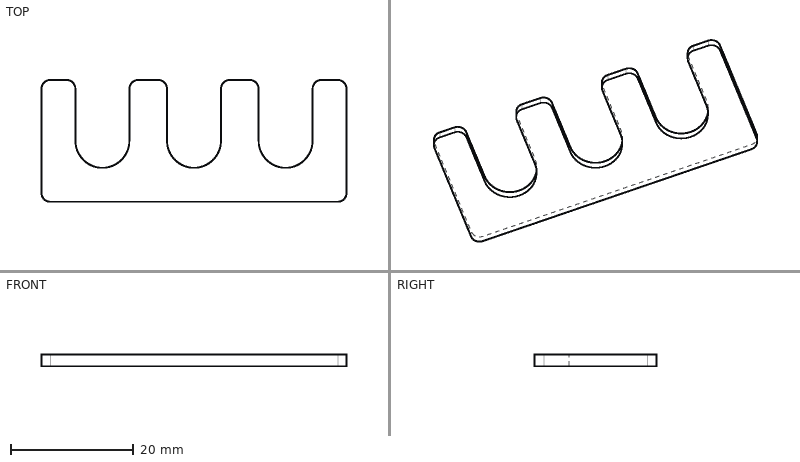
import cadquery as cq

length = 50.0
depth = 20.0
thickness = 2.0
corner_radius = 1.5

slot_count = 3
slot_pitch = 15.0
slot_width = 8.8
slot_end_y = 0.0


def slot_cutter(center_x):
    """U-shaped cutter with a round inner end, open at the +Y edge."""
    radius = slot_width / 2
    edge_y = depth / 2
    return (
        cq.Workplane("XY")
        .moveTo(center_x - radius, edge_y)
        .lineTo(center_x - radius, slot_end_y)
        .threePointArc((center_x, slot_end_y - radius), (center_x + radius, slot_end_y))
        .lineTo(center_x + radius, edge_y)
        .close()
        .extrude(thickness)
    )


comb = cq.Workplane("XY").box(length, depth, thickness, centered=(True, True, False))

for index in range(slot_count):
    slot_x = (index - (slot_count - 1) / 2) * slot_pitch
    comb = comb.cut(slot_cutter(slot_x))

tip_and_corner_edges = comb.faces(">Y or <Y").edges("|Z")
result = tip_and_corner_edges.fillet(corner_radius)